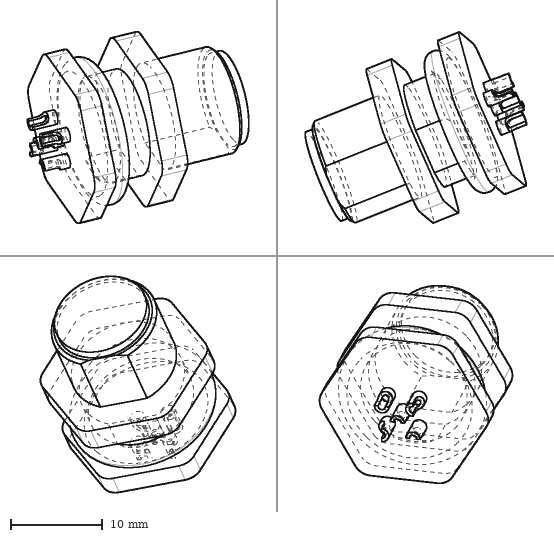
import cadquery as cq
import math

total_length = 23.0

pin_length = 3.0
flange_thickness = 2.5
ring_thickness = 2.5
nut_gap = 3.0
nut_thickness = 3.0
collar_length = 1.0

hex_across_flats = 17.0
hex_corner_radius = 2.0

barrel_diameter = 12.0
barrel_chamfer = 0.4
barrel_flat_distance = 5.38
collar_diameter = 10.5
ring_outer_diameter = 16.6

pin_diameter = 1.6
pin_circle_diameter = 5.0
cup_diameter = 0.8
cup_depth = 2.0
cup_tip_angle = 118.0
scoop_start = 1.0

ring_start = flange_thickness
nut_start = ring_start + ring_thickness + nut_gap
mating_end = total_length - pin_length
barrel_end = mating_end - collar_length

ring_tube_radius = ring_thickness / 2
ring_centre_radius = ring_outer_diameter / 2 - ring_tube_radius
ring_centre_y = ring_start + ring_tube_radius

pin_radius = pin_diameter / 2
cup_radius = cup_diameter / 2
cup_tip_length = cup_radius / math.tan(math.radians(cup_tip_angle / 2))
pin_offset = pin_circle_diameter / 2 * math.sqrt(0.5)

pin_places = [
    (-pin_offset, pin_offset, 0),
    (pin_offset, pin_offset, 90),
    (0, 0, 180),
    (pin_offset, -pin_offset, 180),
    (-pin_offset, -pin_offset, 270),
]


def cylinder(diameter, start, end):
    """Round bar along Y from start to end."""
    plane = cq.Workplane("XZ", origin=(0, end, 0))
    return plane.circle(diameter / 2).extrude(end - start)


def hex_plate(start, thickness):
    """Hexagonal plate with rounded corners and flats facing +Z and -Z."""
    across_corners = hex_across_flats / math.cos(math.radians(30))
    plane = cq.Workplane("XZ", origin=(0, start + thickness, 0))
    plate = plane.polygon(6, across_corners).extrude(thickness)
    return plate.edges("|Y").fillet(hex_corner_radius)


def barrel():
    """Chamfered barrel with one flat along its -Z side."""
    bar = cylinder(barrel_diameter, 0, barrel_end).faces(">Y").chamfer(barrel_chamfer)
    below_flat = cq.Workplane("XY").box(
        barrel_diameter, barrel_end, barrel_diameter, centered=(True, False, False)
    )
    return bar.cut(below_flat.translate((0, 0, -barrel_flat_distance - barrel_diameter)))


def sealing_ring():
    """O-ring around the barrel, resting against the flange."""
    section = cq.Workplane("XY").center(ring_centre_radius, ring_centre_y).circle(ring_tube_radius)
    return section.revolve(360, (-ring_centre_radius, 0), (-ring_centre_radius, 1))


def ring_seat():
    """Solid core that fills the hollow between ring, barrel and flange."""
    return cylinder(2 * ring_centre_radius, 0, ring_centre_y)


def solder_pin(x, z, turn):
    """Pin with a drilled cup, half cut away down to its axis with a round run-out."""
    pin = cylinder(pin_diameter, -pin_length, 0)

    cup_profile = (
        cq.Workplane("XY")
        .moveTo(0, -pin_length)
        .lineTo(cup_radius, -pin_length)
        .lineTo(cup_radius, -pin_length + cup_depth)
        .lineTo(0, -pin_length + cup_depth + cup_tip_length)
        .close()
    )
    cup = cup_profile.revolve(360, (0, 0), (0, 1))

    scoop_profile = (
        cq.Workplane("YZ", origin=(-pin_radius, 0, 0))
        .moveTo(-pin_length, 0)
        .lineTo(-scoop_start - pin_radius, 0)
        .radiusArc((-scoop_start, pin_radius), -pin_radius)
        .lineTo(-pin_length, pin_radius)
        .close()
    )
    scoop = scoop_profile.extrude(pin_diameter)

    pin = pin.cut(cup).cut(scoop)
    return pin.rotate((0, 0, 0), (0, 1, 0), turn).translate((x, 0, z))


result = (
    hex_plate(0, flange_thickness)
    .union(barrel())
    .union(cylinder(collar_diameter, barrel_end, mating_end))
    .union(ring_seat())
    .union(sealing_ring())
    .union(hex_plate(nut_start, nut_thickness))
)
for pin_x, pin_z, pin_turn in pin_places:
    result = result.union(solder_pin(pin_x, pin_z, pin_turn))